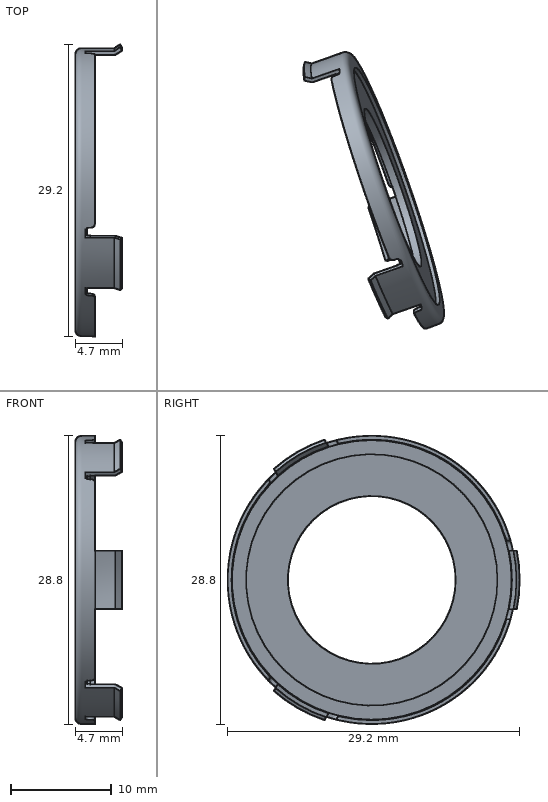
import cadquery as cq
import math

OVERALL_Y = 29.17

OUTER_RADIUS = 28.8 / 2
FRONT_ROUND = 0.65
RIM_DEPTH = 1.98
FLOOR_DEPTH = 1.2
STEP_DEPTH = 1.52
INNER_RADIUS = 27.9 / 2
WIDE_INNER_RADIUS = 28 / 2

DISC_RADIUS = 25.1 / 2
DISC_HOLE_RADIUS = 16.7 / 2
DISC_SETBACK = 0.4
DISC_THICKNESS = FLOOR_DEPTH - DISC_SETBACK

CLIP_ANGLES = (0, 120, 240)
CLIP_WIDTH = 5.83
CLIP_LENGTH = 4.7
CLIP_BEND = 3.9
CLIP_TIP_RADIUS = OVERALL_Y - OUTER_RADIUS
CLIP_THICKNESS = OUTER_RADIUS - WIDE_INNER_RADIUS
FLARE_ANGLE = math.radians(32)
CUTTER_RADIUS = CLIP_TIP_RADIUS + 0.3
SLOT_GAP = 1.0
SLOT_FLOOR = 1.0
SLOT_ROUND = 0.4


def revolve_about_x(profile):
    """Turn a closed (X, radius) outline around the X axis."""
    return profile.close().revolve(360, (0, 0, 0), (1, 0, 0))


def make_full_ring():
    """Ring whose rim carries the clip section all the way round."""
    tip_outer_x = CLIP_LENGTH - CLIP_THICKNESS * math.sin(FLARE_ANGLE)
    tip_inner_radius = CLIP_TIP_RADIUS - CLIP_THICKNESS * math.cos(FLARE_ANGLE)
    flare_run = (tip_inner_radius - WIDE_INNER_RADIUS) / math.tan(FLARE_ANGLE)
    return revolve_about_x(
        cq.Workplane("XY")
        .moveTo(0, DISC_RADIUS)
        .lineTo(0, OUTER_RADIUS - FRONT_ROUND)
        .radiusArc((FRONT_ROUND, OUTER_RADIUS), FRONT_ROUND)
        .lineTo(CLIP_BEND, OUTER_RADIUS)
        .lineTo(tip_outer_x, CLIP_TIP_RADIUS)
        .lineTo(CLIP_LENGTH, tip_inner_radius)
        .lineTo(CLIP_LENGTH - flare_run, WIDE_INNER_RADIUS)
        .lineTo(STEP_DEPTH, WIDE_INNER_RADIUS)
        .lineTo(STEP_DEPTH, INNER_RADIUS)
        .lineTo(FLOOR_DEPTH, INNER_RADIUS)
        .lineTo(FLOOR_DEPTH, DISC_RADIUS)
    )


def make_slot():
    """Cutter for the slot at +Y, limited to the rim wall outside the floor."""
    half = CLIP_WIDTH / 2 + SLOT_GAP
    mouth = half + SLOT_ROUND
    outline = (
        cq.Workplane("XZ")
        .moveTo(SLOT_FLOOR, -half + SLOT_ROUND)
        .lineTo(SLOT_FLOOR, half - SLOT_ROUND)
        .radiusArc((SLOT_FLOOR + SLOT_ROUND, half), SLOT_ROUND)
        .lineTo(RIM_DEPTH - SLOT_ROUND, half)
        .radiusArc((RIM_DEPTH, mouth), -SLOT_ROUND)
        .lineTo(RIM_DEPTH, -mouth)
        .radiusArc((RIM_DEPTH - SLOT_ROUND, -half), -SLOT_ROUND)
        .lineTo(SLOT_FLOOR + SLOT_ROUND, -half)
        .radiusArc((SLOT_FLOOR, -half + SLOT_ROUND), SLOT_ROUND)
        .close()
        .extrude(-CUTTER_RADIUS)
    )
    core = cq.Workplane("YZ").circle(INNER_RADIUS).extrude(CLIP_LENGTH)
    return outline.cut(core)


def make_clip_strip():
    """Block at +Y enclosing one clip between its parallel sides."""
    return cq.Workplane("XY").box(
        CLIP_LENGTH, CUTTER_RADIUS, CLIP_WIDTH, centered=(False, False, True)
    )


def make_housing():
    """Cut away the slots and everything behind the rim except the clips."""
    waste = (
        cq.Workplane("YZ", origin=(RIM_DEPTH, 0, 0))
        .circle(CUTTER_RADIUS)
        .extrude(CLIP_LENGTH - RIM_DEPTH)
    )
    slot = make_slot()
    strip = make_clip_strip()
    for angle in CLIP_ANGLES:
        waste = waste.union(slot.rotate((0, 0, 0), (1, 0, 0), angle))
    for angle in CLIP_ANGLES:
        waste = waste.cut(strip.rotate((0, 0, 0), (1, 0, 0), angle))
    return make_full_ring().cut(waste)


def make_disc():
    return (
        cq.Workplane("YZ", origin=(DISC_SETBACK, 0, 0))
        .circle(DISC_RADIUS)
        .circle(DISC_HOLE_RADIUS)
        .extrude(DISC_THICKNESS)
    )


housing = make_housing()
disc = make_disc()
result = cq.Compound.makeCompound([housing.val(), disc.val()])